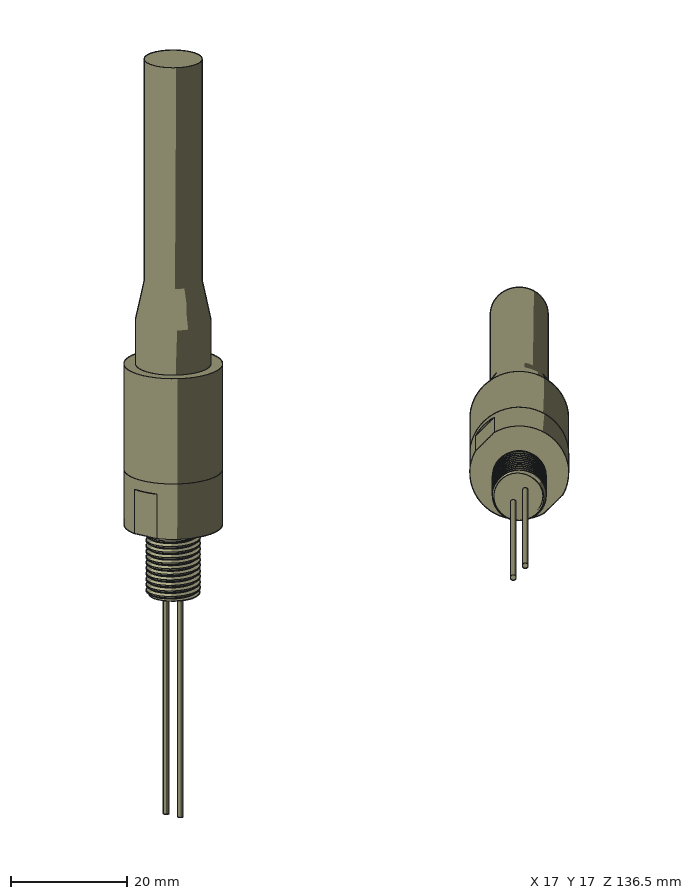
import cadquery as cq
import math

rod_length = 40.0
cone_length = 7.0
collar_length = 8.0
sleeve_length = 19.0
base_length = 10.0
neck_length = 1.25
thread_length = 11.25
lead_length = 40.0

rod_diameter = 10.0
collar_diameter = 13.0
sleeve_diameter = 17.0
base_diameter = 17.01
neck_diameter = 8.1
root_diameter = neck_diameter
thread_diameter = 9.3
lead_diameter = 1.0

flat_height = 8.0
across_flats = 16.34

thread_pitch = 1.0
thread_angle = 60.0
crest_width = thread_pitch / 4
ridge_sink = 0.02
envelope_clearance = 0.1
end_chamfer = 0.4
neck_overlap = 0.5

lead_spacing = 3.0
lead_embedding = 1.0

sleeve_bottom = base_length
collar_bottom = sleeve_bottom + sleeve_length
cone_bottom = collar_bottom + collar_length
rod_bottom = cone_bottom + cone_length
thread_top = -neck_length
thread_bottom = thread_top - thread_length


def cylinder(diameter, bottom, height):
    return cq.Workplane("XY", origin=(0, 0, bottom)).circle(diameter / 2).extrude(height)


def make_probe():
    """Rod, cone, collar and sleeve above the base."""
    rod = cylinder(rod_diameter, rod_bottom, rod_length)
    cone = (
        cq.Workplane("XY", origin=(0, 0, cone_bottom))
        .circle(collar_diameter / 2)
        .workplane(offset=cone_length)
        .circle(rod_diameter / 2)
        .loft()
    )
    collar = cylinder(collar_diameter, collar_bottom, collar_length)
    sleeve = cylinder(sleeve_diameter, sleeve_bottom, sleeve_length)
    return sleeve.union(collar).union(cone).union(rod)


def make_base():
    """Round base with two parallel wrench flats that run out at its lower face."""
    base = cylinder(base_diameter, 0, base_length)
    flat_zone = cylinder(base_diameter, 0, flat_height)
    kept_zone = cq.Workplane("XY").box(
        2 * base_diameter, across_flats, flat_height, centered=(True, True, False)
    )
    return base.cut(flat_zone.cut(kept_zone))


def make_thread_ridge():
    """Helical ridge with a flat crest, sunk into the core and running past both ends of the thread."""
    crest_radius = thread_diameter / 2
    sunk_radius = root_diameter / 2 - ridge_sink
    half_crest = crest_width / 2
    half_root = half_crest + (crest_radius - sunk_radius) * math.tan(math.radians(thread_angle / 2))
    start = thread_bottom - thread_pitch
    rise = thread_length + 2 * thread_pitch
    helix = cq.Wire.makeHelix(thread_pitch, rise, sunk_radius, center=cq.Vector(0, 0, start))
    profile = [
        (sunk_radius, start - half_root),
        (crest_radius, start - half_crest),
        (crest_radius, start + half_crest),
        (sunk_radius, start + half_root),
    ]
    return cq.Workplane("XZ").polyline(profile).close().sweep(cq.Workplane(obj=helix), isFrenet=True)


def make_threaded_stem():
    """Plain neck followed by a thread that is trimmed flat and chamfered at both ends."""
    neck = cylinder(neck_diameter, thread_top - neck_overlap, neck_length + neck_overlap)
    overrun = 2 * thread_pitch
    core = cylinder(root_diameter, thread_bottom - overrun, thread_length + 2 * overrun)
    envelope = cylinder(thread_diameter + 2 * envelope_clearance, thread_bottom, thread_length)
    envelope = envelope.faces("<Z or >Z").chamfer(end_chamfer)
    return core.union(make_thread_ridge()).intersect(envelope).union(neck)


def make_leads():
    """Pair of wire leads, set into the end of the stem."""
    return (
        cq.Workplane("XY", origin=(0, 0, thread_bottom - lead_length))
        .pushPoints([(-lead_spacing / 2, 0), (lead_spacing / 2, 0)])
        .circle(lead_diameter / 2)
        .extrude(lead_length + lead_embedding)
    )


result = make_probe().union(make_base()).union(make_threaded_stem()).union(make_leads())